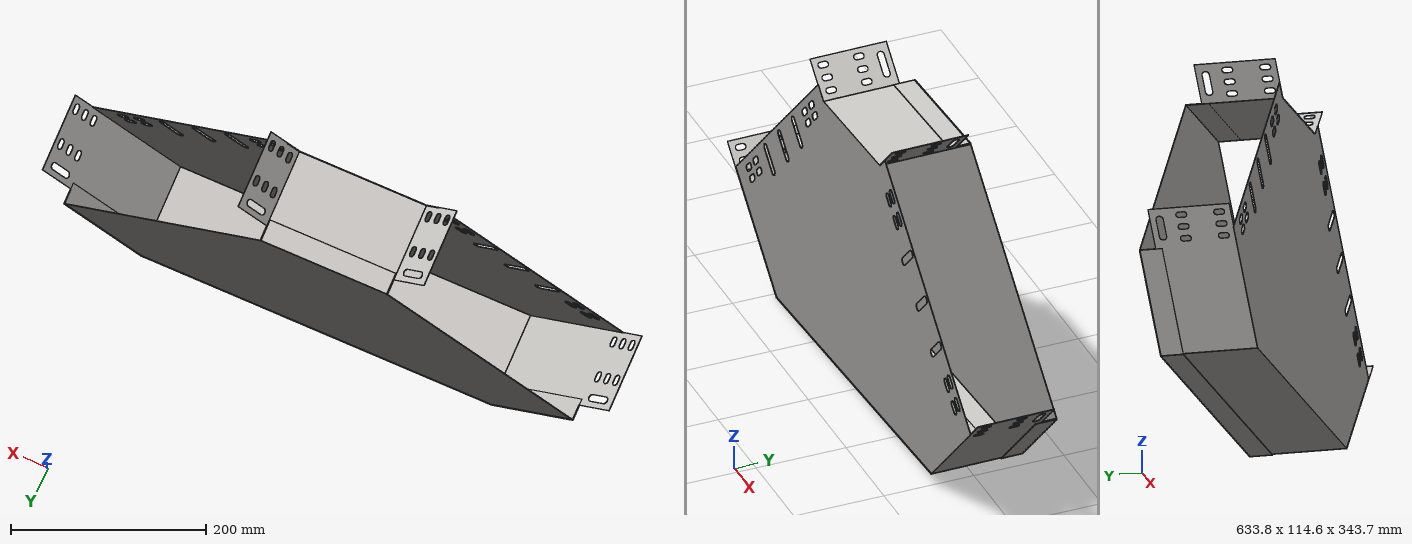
import cadquery as cq
import math


tray_sheet = 0.75
lid_sheet = 0.75

tray_width = 301.0
inner_wall_length = 141.0
end_setback = 18.5
outer_leg = 143.0
tab_overhang = 28.0

total_height = 102.5
tab_height = 85.5
skirt_height = 24.0

floor_slot_pitch = 50.0
floor_slot_count = 3
floor_slot_length = 35.0
floor_slot_width = 8.0
floor_slot_inset = 22.0
floor_hole_length = 15.0
floor_hole_width = 7.0
floor_hole_group_offset = 101.5
floor_hole_pitch = 25.0
floor_hole_inset = 11.5
floor_hole_row_pitch = 12.0

tab_hole_centre = 23.0
tab_hole_length = 11.5
tab_hole_width = 6.5
tab_hole_pitch = 14.0
tab_hole_count = 3
tab_row_heights = (12.0, 52.0)
tab_slot_length = 28.0
tab_slot_width = 7.5
tab_slot_height = 75.5

tilt_x = -0.26
tilt_y = -1.7
tilt_z = 1.17

leg_angle = 45
leg_cos = math.cos(math.radians(leg_angle))
leg_sin = math.sin(math.radians(leg_angle))
mitre = math.tan(math.radians(leg_angle / 2))


def along_leg(point, distance):
    """The (x, z) point moved outward along the right leg."""
    return (point[0] + distance * leg_cos, point[1] + distance * leg_sin)


def across_leg(point, distance):
    """The (x, z) point moved square to the right leg, from the inner wall to the outer wall."""
    return (point[0] + distance * leg_sin, point[1] - distance * leg_cos)


inner_corner = (inner_wall_length / 2, 0)
inner_floor_end = along_leg(inner_corner, end_setback)
outer_floor_end = across_leg(inner_floor_end, tray_width)
outer_corner = along_leg(outer_floor_end, -outer_leg)
inner_tab_end = along_leg(inner_floor_end, tab_overhang)
outer_tab_end = along_leg(outer_floor_end, tab_overhang)
outer_lid_end = along_leg(outer_floor_end, -end_setback)


def symmetric_prism(right_points, start, end):
    """Prism of the right-hand outline and its mirror image, from y = start to y = end."""
    left_points = [(-x, z) for x, z in reversed(right_points)]
    return (
        cq.Workplane("XZ", origin=(0, start, 0))
        .polyline(right_points + left_points)
        .close()
        .extrude(start - end)
    )


def corner_offset(corner, upward):
    """A bend in the wall, offset upward in the plan along its mitre line."""
    return (corner[0] - upward * mitre, corner[1] + upward)


def bent_wall(end, corner, upward, bottom, top):
    """Straight wall with a leg at both ends, thickened upward in the plan from its face."""
    offset_end = across_leg(end, -upward)
    offset_corner = corner_offset(corner, upward)
    return symmetric_prism([corner, end, offset_end, offset_corner], bottom, top)


def cut_both_ends(body, cutter):
    """Cut at the right end and, mirrored, at the left end."""
    return body.cut(cutter).cut(cutter.mirror("YZ"))


def floor_hole_cutter():
    """Holes in the floor: three slots square to the right open end between two groups of four."""
    end_plane = cq.Plane(
        origin=(inner_floor_end[0], 0, inner_floor_end[1]),
        xDir=(leg_sin, 0, -leg_cos),
        normal=(0, 1, 0),
    )
    middle = tray_width / 2
    slots = (
        cq.Workplane(end_plane)
        .center(middle, floor_slot_inset)
        .rarray(floor_slot_pitch, 6.5, floor_slot_count, 1)
        .slot2D(floor_slot_length, floor_slot_width, 90)
        .extrude(tray_sheet)
    )
    for side in (-1, 1):
        group = (
            cq.Workplane(end_plane)
            .center(middle + side * floor_hole_group_offset, floor_hole_inset + floor_hole_row_pitch / 2)
            .rarray(floor_hole_pitch, floor_hole_row_pitch, 2, 2)
            .slot2D(floor_hole_length, floor_hole_width)
            .extrude(tray_sheet)
        )
        slots = slots.add(group)
    return slots.combine()


def tab_plane():
    """Plane on the right inner tab, x running inward from its end and y along +Y."""
    return cq.Plane(
        origin=(inner_tab_end[0], 0, inner_tab_end[1]),
        xDir=(-leg_cos, 0, -leg_sin),
        normal=(leg_sin, 0, -leg_cos),
    )


def tab_hole_cutter():
    """Holes through both tabs of the right end: one lengthwise slot and two rows of three."""
    cutter = (
        cq.Workplane(tab_plane())
        .center(tab_hole_centre, tab_slot_height)
        .slot2D(tab_slot_length, tab_slot_width)
        .extrude(tray_width)
    )
    for height in tab_row_heights:
        row = (
            cq.Workplane(tab_plane())
            .center(tab_hole_centre, height)
            .rarray(tab_hole_pitch, 6.5, tab_hole_count, 1)
            .slot2D(tab_hole_length, tab_hole_width, 90)
            .extrude(tray_width)
        )
        cutter = cutter.add(row)
    return cutter.combine()


def tab_step_cutter():
    """Space above both tabs of the right end, out from the end of the lid."""
    return (
        cq.Workplane(tab_plane())
        .moveTo(0, tab_height)
        .rect(tab_overhang + end_setback, total_height - tab_height, centered=False)
        .extrude(tray_width)
    )


def make_tray():
    """Floor with an inner and an outer wall, each ending in a lower tab with holes."""
    wall_top = total_height - lid_sheet
    tray = symmetric_prism(
        [inner_corner, inner_floor_end, outer_floor_end, outer_corner], 0, tray_sheet
    )
    tray = tray.union(bent_wall(inner_tab_end, inner_corner, -tray_sheet, 0, wall_top))
    tray = tray.union(bent_wall(outer_tab_end, outer_corner, tray_sheet, 0, wall_top))
    tray = cut_both_ends(tray, tab_step_cutter())
    tray = cut_both_ends(tray, tab_hole_cutter())
    return cut_both_ends(tray, floor_hole_cutter())


def make_lid():
    """Flat cover with a skirt around the outside of both tray walls."""
    skirt_bottom = total_height - skirt_height
    inner_edge = across_leg(inner_corner, -lid_sheet / leg_sin)
    outer_edge = across_leg(outer_lid_end, lid_sheet)
    outer_rim = corner_offset(outer_corner, -lid_sheet)
    cover = symmetric_prism(
        [inner_edge, outer_edge, outer_rim], total_height - lid_sheet, total_height
    )
    inner_skirt = symmetric_prism([inner_corner, inner_edge], skirt_bottom, total_height)
    outer_skirt = bent_wall(outer_lid_end, outer_corner, -lid_sheet, skirt_bottom, total_height)
    return cover.union(inner_skirt).union(outer_skirt)


def tilt(body):
    """Turn the body slightly about the X, Y and Z axes."""
    return (
        body.rotate((0, 0, 0), (1, 0, 0), tilt_x)
        .rotate((0, 0, 0), (0, 1, 0), tilt_y)
        .rotate((0, 0, 0), (0, 0, 1), tilt_z)
    )


tray = tilt(make_tray())
lid = tilt(make_lid())

result = cq.Compound.makeCompound([tray.solids().val(), lid.solids().val()])